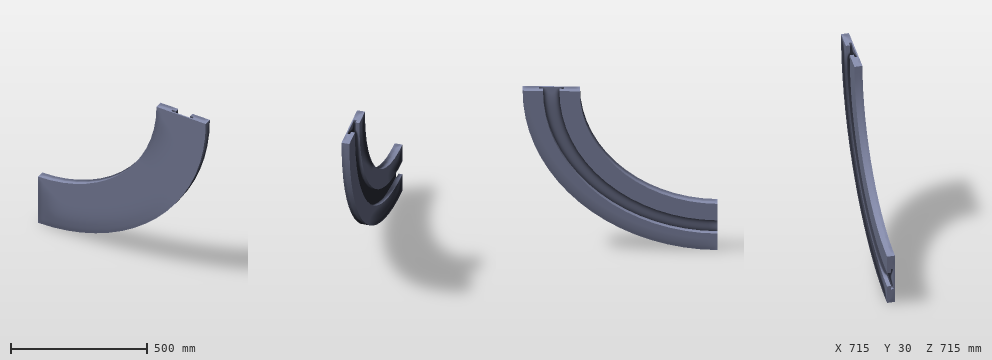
import cadquery as cq

outer_radius = 715.0
track_width = 210.0
thickness = 30.0
mid_radius = outer_radius - track_width / 2

neck_width = 60.0
channel_width = 91.5
neck_depth = 15.0
channel_depth = 10.0

bend_angle = 90.0


def curved_bar(width, y_start, depth):
    """Quarter ring about the Y axis, centred on the track's mid radius, in the +X, -Z quadrant."""
    section = cq.Workplane("XY").center(mid_radius, y_start + depth / 2).rect(width, depth)
    return section.revolve(bend_angle, (-mid_radius, 0, 0), (-mid_radius, 1, 0))


track = curved_bar(track_width, 0, thickness)
neck_start = thickness - neck_depth
neck = curved_bar(neck_width, neck_start, neck_depth)
channel = curved_bar(channel_width, neck_start - channel_depth, channel_depth)

result = track.cut(neck).cut(channel)